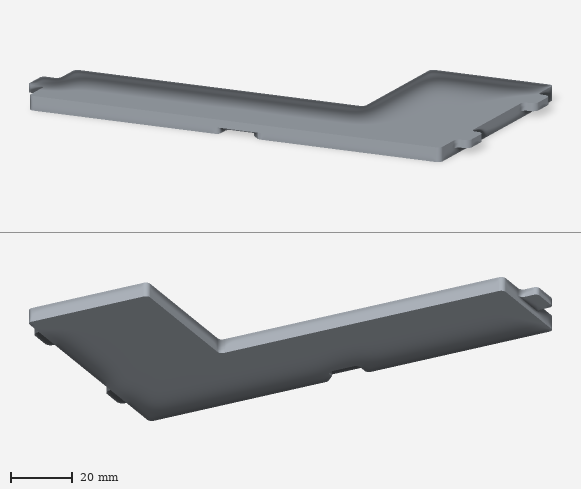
import cadquery as cq

total_length = 159.0
total_width = 85.0
thickness = 5.0
arm_width = 35.0
leg_width = 44.2
corner_radius = 1.6

tab_width = 11.0
tab_thickness = 2.7
tab_pitch = 50.0
tab_root_radius = 1.7
left_tab_length = 6.2
left_tab_tip_radius = 1.5
right_tab_length = 4.6
right_tab_tip_radius = 2.0

socket_clearance = 0.2
socket_corner_radius = 1.6
socket_mouth_radius = 1.5
socket_flare_width = 2.7
socket_flare_depth = 2.7
socket_lip_width = 1.0
socket_lip_depth = 0.3

body_left = left_tab_length
body_right = total_length - right_tab_length
body_center = (body_left + body_right) / 2
leg_left = body_right - leg_width
tab_center = arm_width / 2
tab_bottom = thickness - tab_thickness


def make_body():
    """L-shaped plate with every upright corner rounded."""
    outline = [
        (body_left, 0),
        (body_right, 0),
        (body_right, total_width),
        (leg_left, total_width),
        (leg_left, arm_width),
        (body_left, arm_width),
    ]
    plate = cq.Workplane("XY").polyline(outline).close().extrude(thickness)
    return plate.edges("|Z").fillet(corner_radius)


def make_tab(edge_x, center_y, length, tip_radius, direction):
    """Tab standing out from an edge: flared root, rounded tip; direction is +1 or -1 along X."""
    half = tab_width / 2
    flare = half + tab_root_radius
    bend = tab_root_radius * (1 - 0.5 ** 0.5)

    def at(offset, across):
        return (edge_x + direction * offset, center_y + across)

    inside = -corner_radius
    profile = (
        cq.Workplane("XY", origin=(0, 0, tab_bottom))
        .moveTo(*at(inside, -flare))
        .lineTo(*at(0, -flare))
        .threePointArc(at(bend, -half - bend), at(tab_root_radius, -half))
        .lineTo(*at(length, -half))
        .lineTo(*at(length, half))
        .lineTo(*at(tab_root_radius, half))
        .threePointArc(at(bend, half + bend), at(0, flare))
        .lineTo(*at(inside, flare))
        .close()
    )
    tab = profile.extrude(tab_thickness)
    tip_side = ">X" if direction > 0 else "<X"
    return tab.faces(tip_side).edges("|Z").fillet(tip_radius)


def make_socket():
    """Cutter for the blind socket: rounded inner corners, rounded left mouth, beveled right mouth."""
    half = tab_width / 2 + socket_clearance
    depth = left_tab_length + socket_clearance
    left = body_center - half
    right = body_center + half
    mouth_left = left - socket_mouth_radius
    flare_right = right + socket_flare_width
    lip_right = flare_right + socket_lip_width
    inner_y = depth - socket_corner_radius
    profile = (
        cq.Workplane("XY")
        .moveTo(mouth_left, 0)
        .radiusArc((left, socket_mouth_radius), -socket_mouth_radius)
        .lineTo(left, inner_y)
        .radiusArc((left + socket_corner_radius, depth), socket_corner_radius)
        .lineTo(right - socket_corner_radius, depth)
        .radiusArc((right, inner_y), socket_corner_radius)
        .lineTo(right, socket_lip_depth + socket_flare_depth)
        .lineTo(flare_right, socket_lip_depth)
        .lineTo(lip_right, 0)
        .close()
    )
    return profile.extrude(tab_bottom)


result = make_body()
result = result.union(make_tab(body_left, tab_center, left_tab_length, left_tab_tip_radius, -1))
for row in range(2):
    center_y = tab_center + row * tab_pitch
    result = result.union(make_tab(body_right, center_y, right_tab_length, right_tab_tip_radius, 1))
result = result.cut(make_socket())